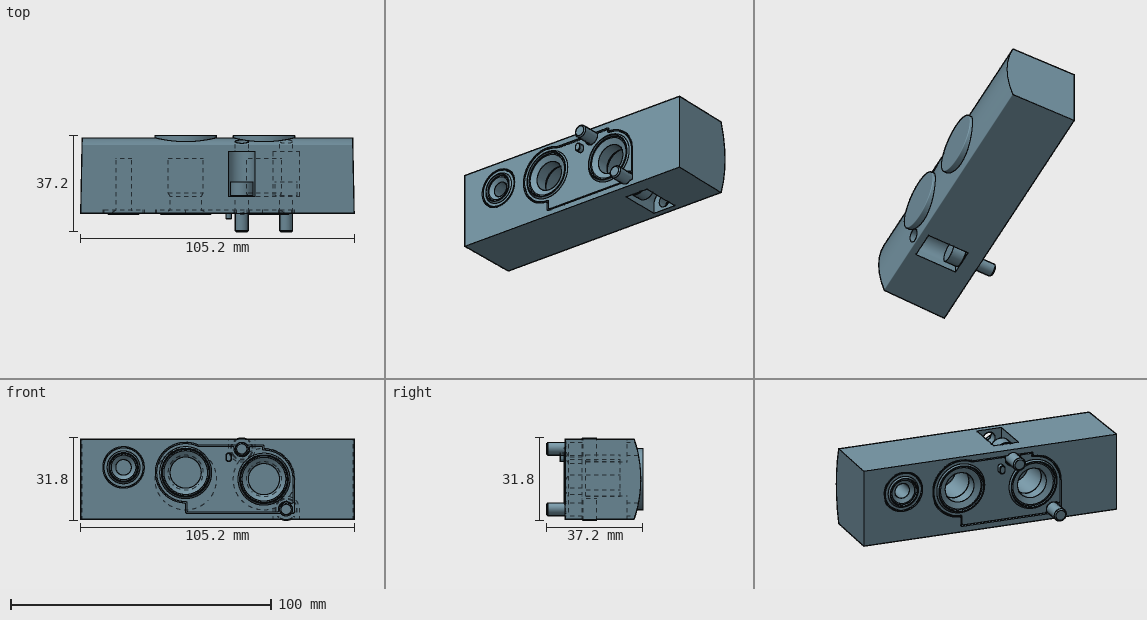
import cadquery as cq
import math


BLOCK_LENGTH = 105.2
BLOCK_BACK_LENGTH = 104.0
BLOCK_HEIGHT = 30.8
SIDE_DEPTH = 26.5
CROWN_DEPTH = 29.0
CROWN_EDGE_FILLET = 0.3

LARGE_PORTS = [(-12.2, 2.5), (17.9, 0.0)]
SMALL_PORT = (-36.1, 4.5)
LARGE_BORE = 12.0
LARGE_BORE_END = 6.5
CHAMBER_CONE_LENGTH = 1.3
CHAMBER_DIAMETER = 13.5
CHAMBER_END = 21.0
SMALL_BORE = 6.0
SMALL_BORE_END = 21.0

BOSS_DIAMETER = 23.7
BOSS_DEPTH = 30.0
BOSS_EDGE_FILLET = 0.3

SCREW_OFFSET_X = 8.5
SHANK_DIAMETER = 5.0
SCREW_REACH = 7.2
TIP_CHAMFER = 0.5
HEAD_DIAMETER = 8.5
HEAD_START = 6.5
HEAD_LENGTH = 5.6
HEAD_CHAMFER = 0.3
SCREW_SPREAD = 31.8
SCREW_OFFSET_Z = (SCREW_SPREAD - HEAD_DIAMETER) / 2

WINDOW_WIDTH = 10.2
WINDOW_END = 23.8
ACCESS_DIAMETER = 5.0

RECESS_DEPTH = 1.3
GASKET_SINK = 0.1
GASKET_GAP = 0.5
PLATE_HALF_HEIGHT = 13.2
PLATE_LOBE_RADIUS = 11.7
PLATE_CORNER = 0.5
SCREW_NOTCH = 6.0
RING_RECESS = 16.0
RING_DIAMETER = 15.0
LARGE_MOUTH = 16.8
SMALL_MOUTH = 9.5
LIP_HEIGHT = 0.6
LIP_OUTER_RUN = 0.6
LIP_TIP_WIDTH = 0.1
LIP_INNER_RUN = 0.3
LIP_MARGIN = 0.5

KEY_WIDTH = 2.2
KEY_HEIGHT = 3.4
KEY_CENTRE = (4.3, 8.4)
KEY_REACH = 2.1
KEY_CHAMFER = 0.2

SCREWS = [
    (LARGE_PORTS[1][0] + side * SCREW_OFFSET_X, -side * SCREW_OFFSET_Z)
    for side in (-1, 1)
]


def front_plane(depth):
    """Workplane parallel to the front face; positive extrusion goes towards the front."""
    return cq.Workplane("XZ", origin=(0, depth, 0))


def cylinder(centre, diameter, start, end):
    """Cylinder along Y between two depths."""
    return front_plane(end).center(*centre).circle(diameter / 2).extrude(end - start)


def revolved(centre, profile):
    """Solid turned about a Y axis through centre from (radius, depth) points."""
    x, z = centre
    outline = cq.Workplane("XY", origin=(x, 0, z)).polyline(profile).close()
    return outline.revolve(360, (0, 0, 0), (0, 1, 0))


def plate_outline(depth):
    """Closed outline of the plate recess: two round lobes joined by a stepped plate."""
    (left_x, left_z), (right_x, right_z) = LARGE_PORTS
    lobe = PLATE_LOBE_RADIUS
    top = PLATE_HALF_HEIGHT
    bottom = -PLATE_HALF_HEIGHT
    lobe_meets_top = left_x + math.sqrt(lobe**2 - (top - left_z) ** 2)
    diagonal = lobe * math.sqrt(0.5)
    return (
        front_plane(depth)
        .moveTo(right_x, top)
        .lineTo(right_x, right_z + lobe)
        .threePointArc((right_x + diagonal, right_z + diagonal), (right_x + lobe, right_z))
        .lineTo(right_x + lobe, bottom)
        .lineTo(left_x, bottom)
        .lineTo(left_x, left_z - lobe)
        .threePointArc((left_x - lobe, left_z), (lobe_meets_top, top))
        .close()
    )


def make_block():
    """Crowned block with ends that taper towards the back."""
    half_height = BLOCK_HEIGHT / 2
    section = (
        cq.Workplane("YZ", origin=(-BLOCK_LENGTH / 2, 0, 0))
        .moveTo(0, -half_height)
        .lineTo(SIDE_DEPTH, -half_height)
        .threePointArc((CROWN_DEPTH, 0), (SIDE_DEPTH, half_height))
        .lineTo(0, half_height)
        .close()
        .extrude(BLOCK_LENGTH)
        .edges("|X")
        .edges(">Y")
        .fillet(CROWN_EDGE_FILLET)
    )
    plan = (
        cq.Workplane("XY", origin=(0, 0, -half_height))
        .polyline([
            (-BLOCK_LENGTH / 2, 0),
            (BLOCK_LENGTH / 2, 0),
            (BLOCK_BACK_LENGTH / 2, CROWN_DEPTH),
            (-BLOCK_BACK_LENGTH / 2, CROWN_DEPTH),
        ])
        .close()
        .extrude(BLOCK_HEIGHT)
    )
    return section.intersect(plan)


def large_port_cut(centre):
    """Bore that widens through a short cone into a closed chamber."""
    bore = LARGE_BORE / 2
    chamber = CHAMBER_DIAMETER / 2
    cone_end = LARGE_BORE_END + CHAMBER_CONE_LENGTH
    return revolved(centre, [
        (0, 0),
        (bore, 0),
        (bore, LARGE_BORE_END),
        (chamber, cone_end),
        (chamber, CHAMBER_END),
        (0, CHAMBER_END),
    ])


def screw_window(centre):
    """Round-bottomed pocket for the screw head, open to the nearer long side."""
    x, z = centre
    outward = math.copysign(1, z)
    opening_height = BLOCK_HEIGHT / 2 - abs(z)
    length = WINDOW_END - HEAD_START
    bed = cylinder(centre, WINDOW_WIDTH, HEAD_START, WINDOW_END)
    opening = cq.Workplane("XY").box(WINDOW_WIDTH, length, opening_height).translate(
        (x, HEAD_START + length / 2, z + outward * opening_height / 2)
    )
    return bed.union(opening)


def make_housing():
    body = make_block()
    for centre in LARGE_PORTS:
        boss_centre = (centre[0], 0)
        boss = cylinder(boss_centre, BOSS_DIAMETER, CHAMBER_END, BOSS_DEPTH)
        body = body.union(boss.faces(">Y").edges().fillet(BOSS_EDGE_FILLET))
    for centre in LARGE_PORTS:
        body = body.cut(large_port_cut(centre))
    body = body.cut(cylinder(SMALL_PORT, SMALL_BORE, 0, SMALL_BORE_END))

    recess = plate_outline(RECESS_DEPTH).extrude(RECESS_DEPTH).edges("|Y").fillet(PLATE_CORNER)
    body = body.cut(recess)
    body = body.cut(cylinder(SMALL_PORT, RING_RECESS, 0, RECESS_DEPTH))

    for centre in SCREWS:
        body = body.cut(screw_window(centre))
        body = body.cut(cylinder(centre, SHANK_DIAMETER, 0, HEAD_START))
        body = body.cut(cylinder(centre, ACCESS_DIAMETER, WINDOW_END, CROWN_DEPTH))
    return body


def make_screw(centre):
    """Cap screw with its head inside the block and its tip in front of it."""
    shank = cylinder(centre, SHANK_DIAMETER, -SCREW_REACH, HEAD_START)
    shank = shank.faces("<Y").chamfer(TIP_CHAMFER)
    head = cylinder(centre, HEAD_DIAMETER, HEAD_START, HEAD_START + HEAD_LENGTH)
    head = head.faces("<Y").chamfer(HEAD_CHAMFER)
    return shank.union(head)


def sealing_lip(centre, mouth_diameter):
    """Raised ring with sloping flanks around a port mouth."""
    inner_base = mouth_diameter / 2 + LIP_MARGIN
    inner_tip = inner_base + LIP_INNER_RUN
    outer_tip = inner_tip + LIP_TIP_WIDTH
    outer_base = outer_tip + LIP_OUTER_RUN
    tip = GASKET_SINK - LIP_HEIGHT
    return revolved(centre, [
        (inner_base, RECESS_DEPTH),
        (inner_base, GASKET_SINK),
        (inner_tip, tip),
        (outer_tip, tip),
        (outer_base, GASKET_SINK),
        (outer_base, RECESS_DEPTH),
    ])


def conical_mouth(centre, mouth_diameter, bore_diameter):
    """Opening through a gasket that narrows down to the bore behind it."""
    return revolved(centre, [
        (0, GASKET_SINK),
        (mouth_diameter / 2, GASKET_SINK),
        (bore_diameter / 2, RECESS_DEPTH),
        (0, RECESS_DEPTH),
    ])


def make_plate_gasket():
    thickness = RECESS_DEPTH - GASKET_SINK
    gasket = plate_outline(RECESS_DEPTH).offset2D(-GASKET_GAP).extrude(thickness)
    for centre in SCREWS:
        gasket = gasket.cut(cylinder(centre, SCREW_NOTCH, GASKET_SINK, RECESS_DEPTH))
    gasket = gasket.edges("|Y").fillet(PLATE_CORNER)
    for centre in LARGE_PORTS:
        gasket = gasket.union(sealing_lip(centre, LARGE_MOUTH))
        gasket = gasket.cut(conical_mouth(centre, LARGE_MOUTH, LARGE_BORE))
    key = (
        front_plane(RECESS_DEPTH)
        .center(*KEY_CENTRE)
        .slot2D(KEY_HEIGHT, KEY_WIDTH, 90)
        .extrude(RECESS_DEPTH + KEY_REACH)
        .faces("<Y")
        .chamfer(KEY_CHAMFER)
    )
    return gasket.union(key)


def make_ring_gasket():
    ring = cylinder(SMALL_PORT, RING_DIAMETER, GASKET_SINK, RECESS_DEPTH)
    ring = ring.union(sealing_lip(SMALL_PORT, SMALL_MOUTH))
    return ring.cut(conical_mouth(SMALL_PORT, SMALL_MOUTH, SMALL_BORE))


housing = make_housing()
plate_gasket = make_plate_gasket()
ring_gasket = make_ring_gasket()
screws = [make_screw(centre) for centre in SCREWS]

result = cq.Compound.makeCompound([
    housing.val(),
    plate_gasket.val(),
    ring_gasket.val(),
    *[screw.val() for screw in screws],
])